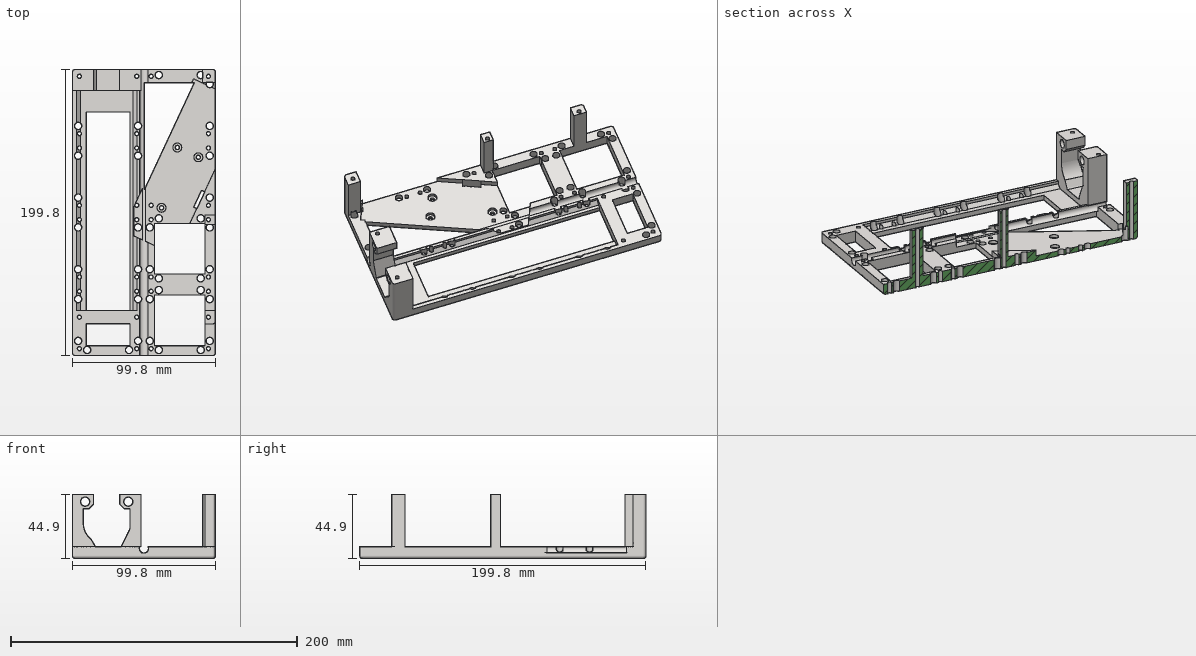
import cadquery as cq
import math

module = 50.0
columns = 2
rows = 4
clearance = 0.1
x_min = clearance
x_max = columns * module - clearance
y_min = clearance
y_max = rows * module - clearance
plate_top = 8.4
overall_height = 44.92
edge_radius = 2.0

square_window = 35.2
square_window_rows = 2
window_border = (module - square_window) / 2
left_window_width = 30.4
left_window_left = (module - left_window_width) / 2
left_window_right = left_window_left + left_window_width
front_border = 7.1
crossbar_start = 22.3
crossbar_end = 31.7
left_window_end = 170.1
corner_window_left = 50.4
corner_window_end = 190.4

groove_diameter = 6.2
groove_x = (x_min + x_max) / 2
groove_bottom = 4.0

recess_left = 3.0
recess_right = 45.2
recess_floor = 3.7
recess_flank = 2.7

board_angle = math.radians(25.0)
board_floor = 4.2
board_u_start = 94.0
board_u_end = 210.9
board_v_start = -5.0
board_v_end = 35.3
board_ledge = 1.6
board_screws = [(162.7, 5.0), (162.7, 21.2), (119.9, 12.8)]
board_screw_diameter = 2.8
board_counterbore_diameter = 6.2
board_counterbore_floor = 2.0
board_slot_u = 136.3
board_slot_v = 34.2
board_slot_length = 12.8
board_slot_width = 2.4

bracket_start = 185.0
bracket_right = 48.0
hook_left = 15.0
hook_right = 33.1
hook_bottom = 34.8
hook_chamfer = 3.2
throat_left = 7.8
throat_right = 40.2
throat_floor = 7.7
throat_arc_top = 24.0
throat_arc_middle = (9.5, 18.0)
throat_arc_end = (13.2, 13.6)
throat_foot_left = 16.8
throat_seam_left = 16.2
throat_foot_right = 34.1
throat_flank_top = 20.9
rod_diameter = 6.2
rod_left_x = 9.0
rod_right_x = 39.1
rod_z = 39.8

post_left = columns * module - window_border
rear_post_left = 90.9
rear_post_start = 190.8
middle_post_start = 91.5
middle_post_end = 98.4

pin_diameter = 4.9
pin_inset = 4.1
pin_spacing_offset = 10.4
pin_hole_top = 11.0
screw_diameter = 2.7
screw_inset = 5.0
crossbar_screw_y = (crossbar_start + crossbar_end) / 2


def block(x_start, x_end, y_start, y_end, z_start, z_end):
    """Axis-aligned box between the given limits."""
    box = cq.Workplane("XY").box(x_end - x_start, y_end - y_start, z_end - z_start, centered=False)
    return box.translate((x_start, y_start, z_start))


def cylinders(points, diameter, z_start, z_end):
    """Upright cylinders at the given points."""
    plane = cq.Workplane("XY", origin=(0, 0, z_start))
    return plane.pushPoints(points).circle(diameter / 2).extrude(z_end - z_start)


def prism_along_y(points, y_start, y_end):
    """Closed polygon of (x, z) points, extruded from y_start to y_end."""
    return cq.Workplane("XZ", origin=(0, y_end, 0)).polyline(points).close().extrude(y_end - y_start)


def board_point(u, v):
    """Plate (x, y) of a point given along and across the tilted board."""
    return (
        u * math.sin(board_angle) + v * math.cos(board_angle),
        u * math.cos(board_angle) - v * math.sin(board_angle),
    )


def board_block(u_start, u_end, v_start, v_end, z_start, z_end):
    """Box whose sides follow the tilted board."""
    corners = [(u_start, v_start), (u_end, v_start), (u_end, v_end), (u_start, v_end)]
    outline = [board_point(u, v) for u, v in corners]
    return cq.Workplane("XY", origin=(0, 0, z_start)).polyline(outline).close().extrude(z_end - z_start)


def make_plate():
    plate = block(x_min, x_max, y_min, y_max, 0, plate_top)
    plate = plate.edges("|Z").fillet(edge_radius)
    return plate.faces("<Z").edges().fillet(edge_radius)


def make_windows():
    long_window = block(
        left_window_left, left_window_right, crossbar_end, left_window_end, 0, plate_top
    )
    short_window = block(
        left_window_left, left_window_right, front_border, crossbar_start, 0, plate_top
    )
    windows = long_window.union(short_window)
    x_start = module + window_border
    for row in range(square_window_rows):
        y_start = row * module + front_border
        windows = windows.union(
            block(x_start, x_start + square_window, y_start, y_start + square_window, 0, plate_top)
        )
    return windows


def make_corner_window():
    """Triangle between the groove, the rear rim and the tilted board."""
    edge_v = board_v_start + board_ledge
    front_y = (corner_window_left * math.cos(board_angle) - edge_v) / math.sin(board_angle)
    right_x = (corner_window_end * math.sin(board_angle) + edge_v) / math.cos(board_angle)
    outline = [
        (corner_window_left, front_y),
        (right_x, corner_window_end),
        (corner_window_left, corner_window_end),
    ]
    return cq.Workplane("XY").polyline(outline).close().extrude(plate_top)


def make_groove():
    plane = cq.Workplane("XZ", origin=(0, y_max, 0))
    axis_z = groove_bottom + groove_diameter / 2
    return plane.center(groove_x, axis_z).circle(groove_diameter / 2).extrude(y_max - y_min)


def make_long_recess():
    flank_top = recess_floor + recess_flank
    profile = [
        (recess_left, plate_top),
        (recess_left, flank_top),
        (recess_left + recess_flank, recess_floor),
        (recess_right - recess_flank, recess_floor),
        (recess_right, flank_top),
        (recess_right, plate_top),
    ]
    return prism_along_y(profile, crossbar_end, bracket_start)


def make_board_recess():
    recess = board_block(
        board_u_start, board_u_end, board_v_start, board_v_end, board_floor, plate_top
    )
    slot = board_block(
        board_slot_u - board_slot_length / 2,
        board_slot_u + board_slot_length / 2,
        board_slot_v - board_slot_width / 2,
        board_slot_v + board_slot_width / 2,
        0,
        plate_top,
    )
    screws = [board_point(u, v) for u, v in board_screws]
    holes = cylinders(screws, board_screw_diameter, 0, plate_top)
    counterbores = cylinders(screws, board_counterbore_diameter, board_counterbore_floor, plate_top)
    return recess.union(slot).union(holes).union(counterbores)


def make_posts():
    rear = block(rear_post_left, x_max, rear_post_start, y_max, plate_top, overall_height)
    rear = rear.edges("|Z and >X and >Y").fillet(edge_radius)
    middle = block(
        post_left, x_max, middle_post_start, middle_post_end, plate_top, overall_height
    )
    front = block(post_left, x_max, crossbar_start, crossbar_end, plate_top, overall_height)
    front = front.edges("|Z and >X and <Y").fillet(edge_radius)
    return rear.union(middle).union(front)


def make_bracket():
    bracket = block(x_min, bracket_right, bracket_start, y_max, plate_top, overall_height)
    return bracket.edges("|Z and <X and >Y").fillet(edge_radius)


def make_throat():
    """Opening of the bracket: a gap between two hooks that widens below them."""
    chamfer_top = hook_bottom + hook_chamfer
    outline = (
        cq.Workplane("XZ", origin=(0, y_max, 0))
        .moveTo(hook_left, overall_height)
        .lineTo(hook_left, chamfer_top)
        .lineTo(hook_left - hook_chamfer, hook_bottom)
        .lineTo(throat_left, hook_bottom)
        .lineTo(throat_left, throat_arc_top)
        .threePointArc(throat_arc_middle, throat_arc_end)
        .lineTo(throat_seam_left, plate_top)
        .lineTo(throat_foot_left, throat_floor)
        .lineTo(throat_foot_right, throat_floor)
        .lineTo(throat_foot_right, plate_top)
        .lineTo(throat_right, throat_flank_top)
        .lineTo(throat_right, hook_bottom)
        .lineTo(hook_right + hook_chamfer, hook_bottom)
        .lineTo(hook_right, chamfer_top)
        .lineTo(hook_right, overall_height)
        .close()
    )
    return outline.extrude(y_max - bracket_start)


def make_rod_holes():
    plane = cq.Workplane("XZ", origin=(0, y_max, 0))
    centres = [(rod_left_x, rod_z), (rod_right_x, rod_z)]
    return plane.pushPoints(centres).circle(rod_diameter / 2).extrude(y_max - bracket_start)


def make_pin_holes():
    """Two pin holes per module side, where the plate has material for them."""
    offsets = [pin_spacing_offset, module - pin_spacing_offset]
    along_y = [row * module + offset for row in range(rows) for offset in offsets]
    left_side = along_y[:-1]
    beside_groove_left = along_y[:4] + along_y[5:7]
    beside_groove_right = along_y[:4]
    points = [(pin_inset, y) for y in left_side]
    points += [(module - pin_inset, y) for y in beside_groove_left]
    points += [(module + pin_inset, y) for y in beside_groove_right]
    points += [(columns * module - pin_inset, y) for y in along_y]
    crossing_y = [
        pin_inset,
        module - pin_inset,
        module + pin_inset,
        2 * module - pin_inset,
        rows * module - pin_inset,
    ]
    for offset in offsets:
        points.append((offset, pin_inset))
        points += [(module + offset, y) for y in crossing_y]
    return cylinders(points, pin_diameter, 0, pin_hole_top)


def make_screw_holes():
    """Screw holes near the module corners and on the crossbar, through posts and bracket."""
    near_lines = [
        screw_inset,
        module - screw_inset,
        module + screw_inset,
        2 * module - screw_inset,
        2 * module + screw_inset,
        rows * module - screw_inset,
    ]
    beside_third_line = [3 * module - screw_inset, 3 * module + screw_inset]
    points = [(module + screw_inset, y) for y in near_lines]
    for x in (screw_inset, module - screw_inset, columns * module - screw_inset):
        points += [(x, y) for y in near_lines + beside_third_line + [crossbar_screw_y]]
    return cylinders(points, screw_diameter, 0, overall_height)


plate = make_plate().cut(make_windows()).cut(make_corner_window())
plate = plate.cut(make_groove()).cut(make_long_recess()).cut(make_board_recess())

body = plate.union(make_posts()).union(make_bracket())
body = body.cut(make_throat()).cut(make_rod_holes())
result = body.cut(make_pin_holes()).cut(make_screw_holes())